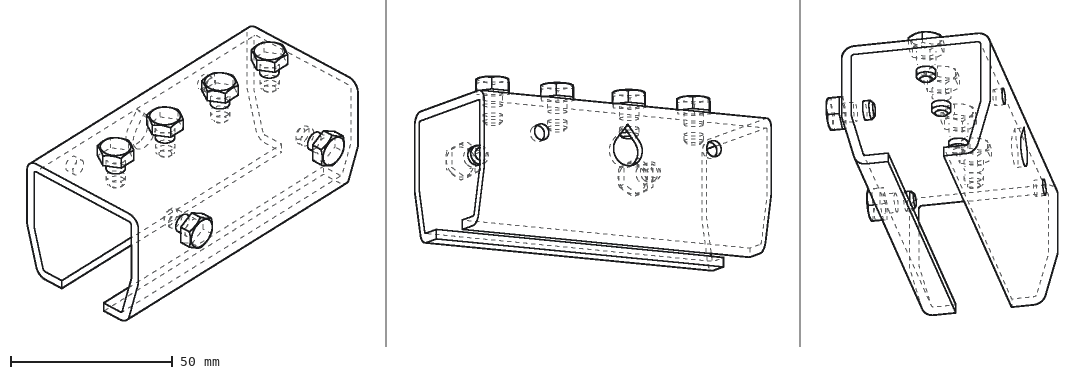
import cadquery as cq
import math

channel_length = 100.0
channel_width = 47.0
channel_height = 42.0
sheet_thickness = 3.0
outer_bend_radius = 4.0
wall_straight_height = 20.0
leg_lean_angle = math.radians(15.0)
slot_width = 17.6

shank_diameter = 6.0
shank_length = 10.0
tip_chamfer = 1.0
underhead_radius = 0.25
head_standoff = 4.0
head_height = 4.2
head_across_flats = 10.0
head_top_diameter = 9.5
head_chamfer_angle = math.radians(30.0)

top_bolt_positions = (-35.0, -12.5, 12.5, 35.0)
side_bolt_positions = (-30.0, 30.0)
side_bolt_depth = 12.0

access_hole_diameter = 5.0
drop_radius = 5.0
drop_center_depth = 15.0
drop_apex_height = 8.0

half_width = channel_width / 2
side_bolt_z = channel_height - side_bolt_depth


def make_channel():
    """Bent sheet: upright walls, legs leaning inward, flanges beside a slot."""
    bend_setback = outer_bend_radius * math.tan(leg_lean_angle / 2)
    wall_corner_z = channel_height - outer_bend_radius - wall_straight_height - bend_setback
    half_bottom = half_width - wall_corner_z * math.tan(leg_lean_angle)
    outline = [
        (-half_width, channel_height),
        (half_width, channel_height),
        (half_width, wall_corner_z),
        (half_bottom, 0),
        (-half_bottom, 0),
        (-half_width, wall_corner_z),
    ]
    tube = (
        cq.Workplane("XZ")
        .polyline(outline)
        .close()
        .extrude(channel_length / 2, both=True)
        .edges("|Y")
        .fillet(outer_bend_radius)
        .faces("|Y")
        .shell(-sheet_thickness)
    )
    slot = cq.Workplane("XY").box(slot_width, channel_length, 2 * sheet_thickness)
    return tube.cut(slot)


def make_bolt():
    """Hex bolt along Z, with the outer sheet face at Z = 0 and the head above."""
    shank_radius = shank_diameter / 2
    tip_z = head_standoff - shank_length
    shank_profile = [
        (0, tip_z),
        (shank_radius - tip_chamfer, tip_z),
        (shank_radius, tip_z + tip_chamfer),
        (shank_radius, head_standoff),
        (0, head_standoff),
    ]
    shank = cq.Workplane("XZ").polyline(shank_profile).close().revolve(360, (0, 0), (0, 1))

    across_corners = head_across_flats / math.cos(math.pi / 6)
    head = (
        cq.Workplane("XY")
        .workplane(offset=head_standoff)
        .polygon(6, across_corners)
        .extrude(head_height)
        .rotate((0, 0, 0), (0, 0, 1), 90)
    )
    head_top = head_standoff + head_height
    top_radius = head_top_diameter / 2
    base_radius = top_radius + head_height / math.tan(head_chamfer_angle)
    crown_profile = [
        (0, head_standoff),
        (base_radius, head_standoff),
        (top_radius, head_top),
        (0, head_top),
    ]
    crown = cq.Workplane("XZ").polyline(crown_profile).close().revolve(360, (0, 0), (0, 1))
    bolt = shank.union(head.intersect(crown))
    underhead_circle = cq.selectors.NearestToPointSelector((0, 0, head_standoff))
    return bolt.edges(underhead_circle).fillet(underhead_radius)


def cut_from_left_wall(body, outline):
    """Cut an outline, drawn in the YZ plane, through the -X wall only."""
    cutter = outline.extrude(2 * sheet_thickness)
    return body.cut(cutter.translate((-half_width - sheet_thickness / 2, 0, 0)))


channel = make_channel()

access_holes = (
    cq.Workplane("YZ")
    .pushPoints([(y, side_bolt_z) for y in side_bolt_positions])
    .circle(access_hole_diameter / 2)
)
channel = cut_from_left_wall(channel, access_holes)

drop_center_z = channel_height - drop_center_depth
tangent_angle = math.asin(drop_radius / drop_apex_height)
tangent_y = drop_radius * math.cos(tangent_angle)
tangent_z = drop_center_z + drop_radius * math.sin(tangent_angle)
drop = (
    cq.Workplane("YZ")
    .moveTo(0, drop_center_z + drop_apex_height)
    .lineTo(tangent_y, tangent_z)
    .threePointArc((0, drop_center_z - drop_radius), (-tangent_y, tangent_z))
    .close()
)
channel = cut_from_left_wall(channel, drop)

top_bolt = make_bolt()
side_bolt = top_bolt.rotate((0, 0, 0), (0, 0, 1), 90).rotate((0, 0, 0), (0, 1, 0), 90)

result = channel
for y in top_bolt_positions:
    result = result.union(top_bolt.translate((0, y, channel_height)))
for y in side_bolt_positions:
    result = result.union(side_bolt.translate((half_width, y, side_bolt_z)))